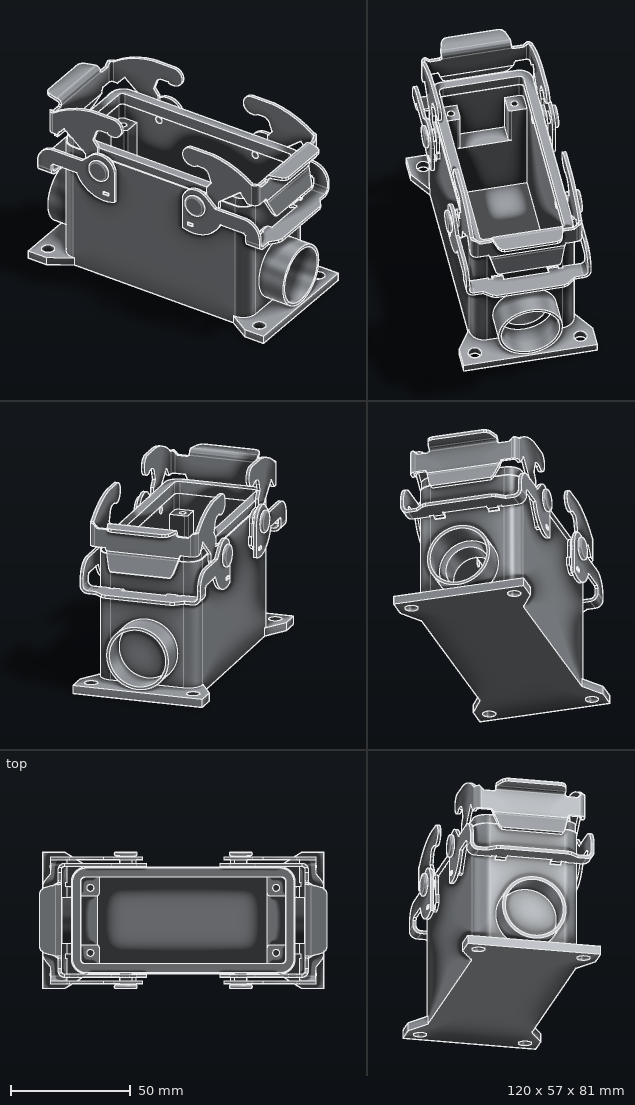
import cadquery as cq
import math


body_length, body_width = 93.3, 44.6
body_corner = 6.2
ledge_z = 58.9
rim_z = 62.9
rim_inset = 0.5
cavity_length, cavity_width = 85.4, 36.0
cavity_corner = 1.8
cavity_step_z = 57.6
cavity_step = 0.1
floor_thickness = 3.6
merge_depth = 1.2

flange_length, flange_width, flange_thickness = 117.3, 57.0, 3.6
flange_full_x = 49.4
flange_root_x = 39.6
mount_hole_diameter = 5.5
mount_hole_inset = 6.0

post_top_z = 50.6
post_inner_x, post_inner_y = 35.0, 10.2
post_corner = 1.2
post_hole_x, post_hole_y = 38.8, 13.5
post_hole_diameter, post_hole_depth = 2.9, 12.0
block_inner_x_left = -35.8
block_inner_x_right = post_inner_x

entry_z = 18.5
entry_diameter, entry_bore_diameter = 27.2, 24.8
entry_bore_depth = 12.6
entry_hole_diameter = 19.1
block_top_z = entry_z + entry_diameter / 2

pivot_x, pivot_z = -24.0, 55.9
pin_diameter = 5.2
head_diameter, head_thickness, head_round = 9.6, 1.5, 0.7
tail_diameter = 3.1
pin_end_y = flange_width / 2

sheet = 1.3

latch_y = 23.8
latch_x = -52.2
latch_bend_radius = 2.6
latch_side_x = latch_x + latch_bend_radius
latch_bottom_z, latch_top_z = 63.3, 73.3
hook_crest_z = 81.0
hook_tip_radius = 4.3
hook_tip_x = -19.5
latch_hub_radius = 4.5
upper_grip_half_width = 14.9
upper_grip_edge_half_width = 11.3
upper_grip_z = 74.5
upper_grip_x = -60.0
lower_grip_half_width = 16.0

bail_y = 26.5
bail_left_x, bail_right_x = -55.3, -48.5
bail_front_x = -58.7
bail_bottom_z = 43.4
bail_bend_radius = 3.4
bail_bend_top_z = bail_bottom_z + bail_bend_radius
bail_hub_radius = 7.1
bail_arm_top_z, bail_arm_bottom_z = 57.0, 50.0
bail_neck_x = -33.2
pip_x, pip_z, pip_height = -21.0, 45.0, 0.4
pip_length, pip_width = 2.6, 1.2


def block(x_range, y_range, z_range):
    """Box spanning the given coordinate ranges."""
    sizes = [high - low for low, high in (x_range, y_range, z_range)]
    corner = (x_range[0], y_range[0], z_range[0])
    return cq.Workplane("XY").box(*sizes, centered=False).translate(corner)


def rounded_block(length, width, bottom, top, radius):
    """Centred box with rounded vertical edges."""
    box = cq.Workplane("XY").workplane(offset=bottom).rect(length, width).extrude(top - bottom)
    return box.edges("|Z").fillet(radius)


def cylinder_x(diameter, x_start, x_end):
    """Cylinder along X on the cable entry axis."""
    plane = cq.Workplane("YZ", origin=(x_start, 0, entry_z))
    return plane.circle(diameter / 2).extrude(x_end - x_start)


def cylinder_y(diameter, y_start, y_end):
    """Cylinder along Y on the pivot axis."""
    plane = cq.Workplane("XZ", origin=(pivot_x, y_start, pivot_z))
    return plane.circle(diameter / 2).extrude(y_start - y_end)


def both_sides(shape, plane):
    """The shape together with its mirror image."""
    return shape.union(shape.mirror(plane))


def symmetric_outline(half_outline):
    """Close an outline given for the positive second coordinate by mirroring it."""
    return half_outline + [(u, -v) for u, v in reversed(half_outline)]


def make_flange():
    end_x = flange_length / 2
    half_width = flange_width / 2
    end_plate = [(flange_root_x, body_width / 2), (flange_full_x, half_width), (end_x, half_width)]
    plate = cq.Workplane("XY").polyline(symmetric_outline(end_plate)).close().extrude(flange_thickness)
    hole_x = end_x - mount_hole_inset
    hole_y = half_width - mount_hole_inset
    holes = cq.Workplane("XY").pushPoints([(hole_x, hole_y), (hole_x, -hole_y)])
    plate = plate.cut(holes.circle(mount_hole_diameter / 2).extrude(flange_thickness))
    return both_sides(plate, "YZ")


def make_cavity():
    step = 2 * cavity_step
    lower = rounded_block(
        cavity_length + step, cavity_width + step, floor_thickness, cavity_step_z, cavity_corner
    )
    upper = rounded_block(cavity_length, cavity_width, cavity_step_z, rim_z, cavity_corner)
    return lower.union(upper)


def make_posts():
    outer_x = body_length / 2 - merge_depth
    outer_y = body_width / 2 - merge_depth
    post = block((post_inner_x, outer_x), (post_inner_y, outer_y), (0, post_top_z))
    post = post.edges("|Z and <X and <Y").fillet(post_corner)
    corner_mask = rounded_block(body_length, body_width, 0, rim_z, body_corner)
    post = post.intersect(corner_mask)
    hole = cq.Workplane("XY", origin=(post_hole_x, post_hole_y, post_top_z - post_hole_depth))
    post = post.cut(hole.circle(post_hole_diameter / 2).extrude(post_hole_depth))
    return both_sides(both_sides(post, "XZ"), "YZ")


def make_housing():
    lower = rounded_block(body_length, body_width, 0, ledge_z, body_corner)
    upper = rounded_block(
        body_length - 2 * rim_inset, body_width - 2 * rim_inset, ledge_z, rim_z, body_corner - rim_inset
    )
    housing = lower.union(upper).cut(make_cavity())
    wall_x = body_length / 2 - merge_depth
    y_range = (-post_inner_y - post_corner, post_inner_y + post_corner)
    z_range = (floor_thickness - merge_depth, block_top_z)
    housing = housing.union(block((-wall_x, block_inner_x_left), y_range, z_range))
    housing = housing.union(block((block_inner_x_right, wall_x), y_range, z_range))
    housing = housing.union(make_posts()).union(make_flange())

    entry_x = flange_length / 2
    wall_inner_x = cavity_length / 2
    tube = cylinder_x(entry_diameter, wall_inner_x, entry_x)
    bore = cylinder_x(entry_bore_diameter, entry_x - entry_bore_depth, entry_x)
    housing = housing.union(both_sides(tube, "YZ")).cut(both_sides(bore, "YZ"))
    return housing.cut(cylinder_x(entry_hole_diameter, -entry_x, block_inner_x_left))


def make_pin():
    shaft = cylinder_y(pin_diameter, -pin_end_y, -cavity_width / 2 - merge_depth)
    head = cylinder_y(head_diameter, -pin_end_y, -pin_end_y + head_thickness)
    head = head.faces("<Y or >Y").edges().fillet(head_round)
    tail = cylinder_y(tail_diameter, -pin_end_y + head_thickness, -cavity_width / 2)
    return shaft.union(head).union(tail)


def make_latch_side():
    """Hook plate on the -Y side."""
    hook_tip_z = hook_crest_z - hook_tip_radius
    throat_z = 73.2
    foot_x, foot_top_z, foot_bottom_z = -18.7, 50.1, 46.5
    tail_x, tail_z = -21.6, 44.1
    hub_x = pivot_x + latch_hub_radius
    hub_diagonal = latch_hub_radius * math.sqrt(0.5)
    outline = (
        cq.Workplane("XZ", origin=(0, -latch_y + sheet, 0))
        .moveTo(latch_side_x, latch_top_z)
        .threePointArc((-40.5, 78.3), (-30.0, hook_crest_z))
        .lineTo(hook_tip_x, hook_crest_z)
        .threePointArc((hook_tip_x + hook_tip_radius, hook_tip_z), (hook_tip_x, hook_tip_z - hook_tip_radius))
        .threePointArc((-21.2, 72.5), (-22.4, throat_z))
        .lineTo(-25.4, throat_z)
        .threePointArc((-27.5, 72.2), (-28.4, 70.2))
        .lineTo(-29.5, 67.2)
        .lineTo(-27.2, 64.3)
        .lineTo(-27.2, pivot_z + latch_hub_radius)
        .lineTo(pivot_x, pivot_z + latch_hub_radius)
        .threePointArc((pivot_x + hub_diagonal, pivot_z + hub_diagonal), (hub_x, pivot_z))
        .lineTo(hub_x, foot_top_z)
        .lineTo(foot_x, foot_top_z)
        .lineTo(foot_x, foot_bottom_z)
        .lineTo(tail_x, tail_z)
        .lineTo(pivot_x, tail_z)
        .lineTo(bail_neck_x, bail_arm_top_z - merge_depth)
        .lineTo(bail_neck_x, 58.9)
        .lineTo(-43.9, 67.5)
        .lineTo(-47.5, latch_bottom_z)
        .lineTo(latch_side_x, latch_bottom_z)
        .close()
    )
    return outline.extrude(sheet)


def make_latch_wall():
    """Cross wall with its two bends into the hook plates."""
    x_end = latch_side_x + 2 * sheet
    z_range = (latch_bottom_z - sheet, latch_top_z)
    outer = block((latch_x, x_end), (-latch_y, latch_y), z_range)
    outer = outer.edges("|Z and <X").fillet(latch_bend_radius)
    inner_y = latch_y - sheet
    inner = block((latch_x + sheet, x_end), (-inner_y, inner_y), z_range)
    inner = inner.edges("|Z and <X").fillet(latch_bend_radius - sheet)
    shell = outer.cut(inner)
    trim = block((latch_x, latch_side_x), (-latch_y, latch_y), z_range)

    dip_z = 71.4
    half_outline = [
        (z_range[0], lower_grip_half_width),
        (latch_bottom_z, lower_grip_half_width + 0.6),
        (latch_bottom_z, latch_y),
        (latch_top_z, latch_y),
        (latch_top_z, 22.0),
        (dip_z, 20.0),
        (dip_z, 15.7),
        (latch_top_z - sheet, upper_grip_half_width),
    ]
    face_outline = [(y, z) for z, y in symmetric_outline(half_outline)]
    face = cq.Workplane("YZ", origin=(latch_x, 0, 0)).polyline(face_outline).close()
    return shell.intersect(trim).intersect(face.extrude(latch_side_x - latch_x))


def make_upper_grip():
    """Thumb grip bent outward from the top of the cross wall."""
    under_z = upper_grip_z - sheet
    inner_x = latch_x + sheet
    inner_bend = 1.2
    outer_bend = inner_bend + sheet
    diagonal = math.sqrt(0.5)
    side = (
        cq.Workplane("XZ", origin=(0, upper_grip_half_width, 0))
        .moveTo(upper_grip_x, upper_grip_z)
        .lineTo(inner_x - outer_bend, upper_grip_z)
        .threePointArc(
            (inner_x - outer_bend * (1 - diagonal), upper_grip_z - outer_bend * (1 - diagonal)),
            (inner_x, upper_grip_z - outer_bend),
        )
        .lineTo(inner_x, under_z - 2 * inner_bend)
        .lineTo(latch_x, under_z - 2 * inner_bend)
        .lineTo(latch_x, under_z - inner_bend)
        .threePointArc(
            (latch_x - inner_bend * (1 - diagonal), under_z - inner_bend * (1 - diagonal)),
            (latch_x - inner_bend, under_z),
        )
        .lineTo(upper_grip_x, under_z)
        .close()
        .extrude(2 * upper_grip_half_width)
    )
    half_outline = [
        (upper_grip_x, upper_grip_edge_half_width),
        (upper_grip_x + 0.5, upper_grip_edge_half_width + 1.2),
        (upper_grip_x + 1.8, upper_grip_edge_half_width + 2.3),
        (latch_x - sheet, upper_grip_half_width),
        (inner_x, upper_grip_half_width),
    ]
    plan = cq.Workplane("XY").polyline(symmetric_outline(half_outline)).close()
    return side.intersect(plan.extrude(upper_grip_z))


def make_lower_grip():
    """Grip slanting down and outward from the bottom of the cross wall."""
    bottom_z = 53.6
    side_outline = [
        (latch_x, latch_bottom_z),
        (latch_x, 62.0),
        (-52.5, 61.1),
        (-55.4, 54.2),
        (-54.2, bottom_z),
        (latch_x + sheet, 60.8),
        (latch_x + sheet, latch_bottom_z),
    ]
    side = cq.Workplane("XZ", origin=(0, lower_grip_half_width, 0)).polyline(side_outline).close()
    side = side.extrude(2 * lower_grip_half_width)
    half_outline = [
        (latch_bottom_z, lower_grip_half_width),
        (61.9, lower_grip_half_width),
        (55.4, 14.0),
        (bottom_z, 12.8),
    ]
    face_outline = [(y, z) for z, y in symmetric_outline(half_outline)]
    face = cq.Workplane("YZ", origin=(upper_grip_x, 0, 0)).polyline(face_outline).close()
    return side.intersect(face.extrude(latch_side_x - upper_grip_x))


def make_latch():
    sides = both_sides(make_latch_side(), "XZ")
    return sides.union(make_latch_wall()).union(make_upper_grip()).union(make_lower_grip())


def make_bail_side():
    """Bail arm on the -Y side, with its pivot hub and a small raised pip."""
    neck_dx = bail_neck_x - pivot_x
    neck_dz = bail_arm_top_z - pivot_z
    neck_distance = math.hypot(neck_dx, neck_dz)
    tangent_angle = math.atan2(neck_dz, neck_dx) - math.acos(bail_hub_radius / neck_distance)
    tangent = (
        pivot_x + bail_hub_radius * math.cos(tangent_angle),
        pivot_z + bail_hub_radius * math.sin(tangent_angle),
    )
    mid_angle = tangent_angle / 2
    hub_middle = (
        pivot_x + bail_hub_radius * math.cos(mid_angle),
        pivot_z + bail_hub_radius * math.sin(mid_angle),
    )
    hub_x = pivot_x + bail_hub_radius
    inner_corner = 1.0
    plate = (
        cq.Workplane("XZ", origin=(0, -bail_y + sheet, 0))
        .moveTo(bail_left_x, bail_bend_top_z)
        .lineTo(bail_left_x, 49.8)
        .threePointArc((-53.1, 54.6), (-47.5, bail_arm_top_z))
        .lineTo(bail_neck_x, bail_arm_top_z)
        .lineTo(*tangent)
        .threePointArc(hub_middle, (hub_x, pivot_z))
        .lineTo(hub_x, 42.0)
        .threePointArc((-26.4, 41.6), (-35.8, bail_arm_bottom_z))
        .lineTo(bail_right_x + inner_corner, bail_arm_bottom_z)
        .lineTo(bail_right_x, bail_arm_bottom_z - inner_corner)
        .lineTo(bail_right_x, bail_bend_top_z)
        .close()
        .extrude(sheet)
    )
    pip = block(
        (pip_x - pip_length / 2, pip_x + pip_length / 2),
        (-bail_y - pip_height, -latch_y),
        (pip_z - pip_width / 2, pip_z + pip_width / 2),
    )
    return plate.union(pip)


def make_bail_strip():
    """Cross strip with its two bends up into the arms and two tabs at the housing wall."""
    wall_x = -body_length / 2
    x_range = (bail_front_x, wall_x)
    above_z = bail_bend_top_z + sheet
    outer = block(x_range, (-bail_y, bail_y), (bail_bottom_z, above_z))
    outer = outer.edges("|X and <Z").fillet(bail_bend_radius)
    inner_y = bail_y - sheet
    inner = block(x_range, (-inner_y, inner_y), (bail_bottom_z + sheet, above_z))
    inner = inner.edges("|X and <Z").fillet(bail_bend_radius - sheet)

    tab_inner_y, tab_outer_y = 9.6, 14.0
    relief_width, relief_depth = 1.8, 0.7
    recess_x = -50.5
    half_outline = [
        (recess_x, tab_inner_y),
        (bail_right_x, tab_inner_y),
        (bail_right_x, tab_outer_y),
        (bail_right_x - relief_depth, tab_outer_y),
        (bail_right_x - relief_depth, tab_outer_y + relief_width),
        (bail_right_x, tab_outer_y + relief_width),
        (bail_right_x, bail_y),
        (bail_left_x, bail_y),
        (bail_left_x, 19.5),
        (-58.1, 16.1),
        (bail_front_x, 14.4),
        (bail_front_x, 0),
        (recess_x, 0),
    ]
    plan = cq.Workplane("XY").polyline(half_outline).close().extrude(bail_bend_top_z)
    strip = outer.cut(inner).intersect(both_sides(plan, "XZ"))

    tab_bottom_z = bail_bottom_z - 0.7
    tab_outline = [
        (bail_right_x - sheet, bail_bottom_z),
        (bail_right_x, bail_bottom_z),
        (wall_x - sheet / 2, tab_bottom_z),
        (wall_x, tab_bottom_z),
        (wall_x, bail_bottom_z),
        (bail_right_x, bail_bottom_z + sheet),
        (bail_right_x - sheet, bail_bottom_z + sheet),
    ]
    tab = cq.Workplane("XZ", origin=(0, tab_outer_y, 0)).polyline(tab_outline).close()
    tab = tab.extrude(tab_outer_y - tab_inner_y)
    return strip.union(both_sides(tab, "XZ"))


def make_bail():
    return both_sides(make_bail_side(), "XZ").union(make_bail_strip())


lever_set = both_sides(make_pin(), "XZ").union(make_latch()).union(make_bail())
result = make_housing().union(both_sides(lever_set, "YZ"))